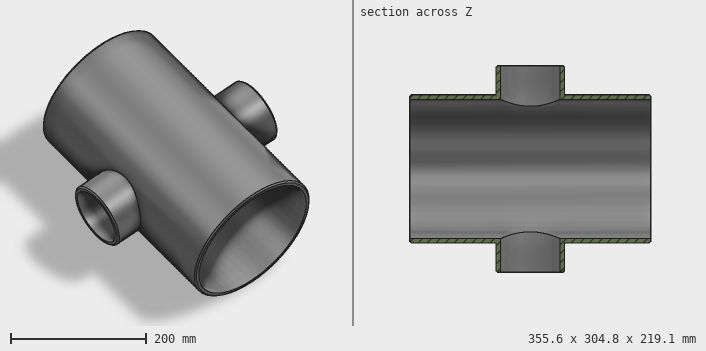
import cadquery as cq

run_length = 355.6
run_outer_diameter = 219.075

branch_span = 304.8
branch_outer_diameter = 101.6

wall = 7.1
bevel = 2.35


def centred_cylinder(plane, diameter, length):
    """Solid cylinder centred on the origin, its axis normal to the plane."""
    return cq.Workplane(plane).circle(diameter / 2).extrude(length / 2, both=True)


def pipe_body(plane, outer_diameter, length):
    """Solid pipe envelope with both end edges bevelled."""
    return centred_cylinder(plane, outer_diameter, length).faces("%PLANE").chamfer(bevel)


def pipe_bore(plane, outer_diameter, length):
    """Through bore that leaves the wall thickness inside the envelope."""
    return centred_cylinder(plane, outer_diameter - 2 * wall, length)


run_pipe = ("YZ", run_outer_diameter, run_length)
branch_pipe = ("XZ", branch_outer_diameter, branch_span)

cross_body = pipe_body(*run_pipe).union(pipe_body(*branch_pipe))
result = cross_body.cut(pipe_bore(*run_pipe)).cut(pipe_bore(*branch_pipe))